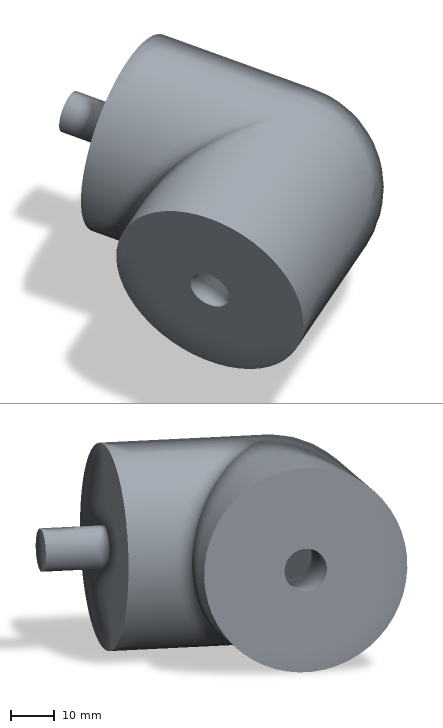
import cadquery as cq

body_diameter = 48.0
pin_arm_length = 39.0
socket_arm_length = 36.0
pin_diameter = 10.0
pin_length = 15.0

socket_diameter = pin_diameter
socket_depth = pin_length

body_radius = body_diameter / 2


def rod_along_x(diameter, start_x, end_x):
    """Round rod centred on the X axis."""
    return cq.Workplane("YZ", origin=(start_x, 0, 0)).circle(diameter / 2).extrude(end_x - start_x)


def rod_along_y(diameter, start_y, end_y):
    """Round rod centred on the Y axis, running from start_y up to end_y."""
    return cq.Workplane("ZX", origin=(0, start_y, 0)).circle(diameter / 2).extrude(end_y - start_y)


def make_elbow():
    """Two mitred round arms at a right angle with a spherical outer corner."""
    pin_arm = rod_along_x(body_diameter, -pin_arm_length, 0)
    socket_arm = rod_along_y(body_diameter, -socket_arm_length, 0)
    corner = cq.Workplane("XY").sphere(body_radius)
    return pin_arm.union(socket_arm).union(corner)


def make_pin():
    """Pin standing out of the -X end face."""
    return rod_along_x(pin_diameter, -pin_arm_length - pin_length, -pin_arm_length)


def make_socket():
    """Blind hole sunk into the -Y end face."""
    return rod_along_y(socket_diameter, -socket_arm_length, socket_depth - socket_arm_length)


result = make_elbow().union(make_pin()).cut(make_socket())